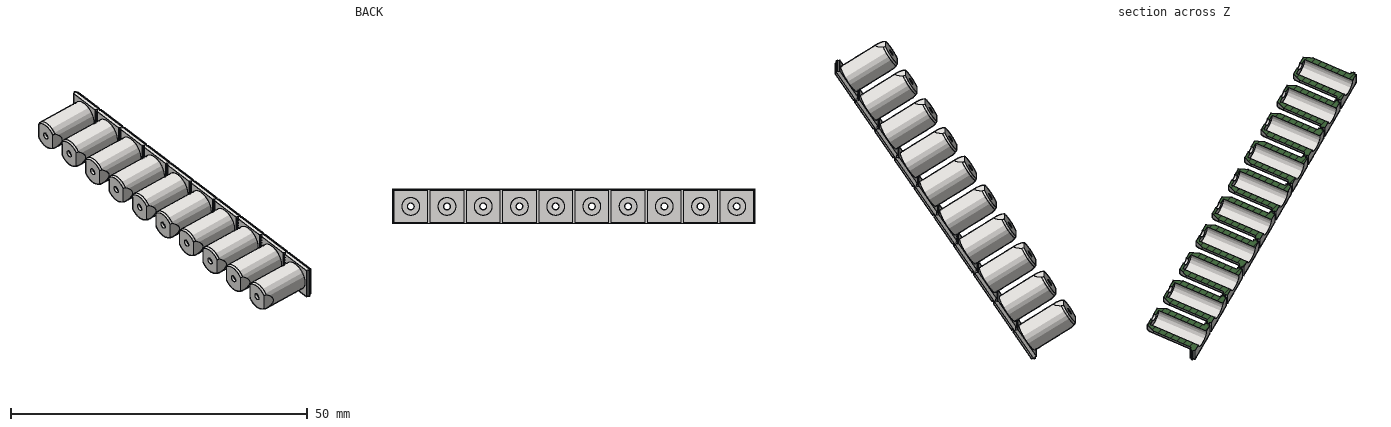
import cadquery as cq

cell_count = 10
pitch = 6.1
strip_length = cell_count * pitch

plate_height = 5.8
plate_thickness = 1.0
pad_thickness = 0.35
pad_gap = 0.4
pad_edge_taper = 0.2
groove_width = 0.4
groove_bevel_depth = 0.2
web_thickness = 0.25

total_depth = 9.5
pin_diameter = 5.0
tip_chamfer_length = 0.35
tip_chamfer_inset = 0.2
flat_length = 1.5
tip_half_width = 1.8
hole_diameter = 1.1
bore_diameter = 3.0
tip_wall = 0.5

web_back = -pad_thickness
plate_front = -plate_thickness
web_front = web_back - web_thickness
bevel_front = web_front - groove_bevel_depth
tip = -total_depth

pin_radius = pin_diameter / 2
cell_centers = [(index + 0.5) * pitch - strip_length / 2 for index in range(cell_count)]


def make_prism(points, height):
    """Extrude an XY outline symmetrically about Z = 0."""
    return cq.Workplane("XY").polyline(points).close().extrude(height / 2, both=True)


def make_cell_plate():
    """Layer with a groove at each side, plus the narrower pad behind it, tapered at top and bottom."""
    half_pitch = pitch / 2
    half_front = (pitch - groove_width) / 2
    layer = make_prism(
        [
            (-half_pitch, web_back),
            (half_pitch, web_back),
            (half_pitch, web_front),
            (half_front, bevel_front),
            (half_front, plate_front),
            (-half_front, plate_front),
            (-half_front, bevel_front),
            (-half_pitch, web_front),
        ],
        plate_height,
    )
    half_height = plate_height / 2
    half_back = half_height - pad_edge_taper
    pad = (
        cq.Workplane("YZ")
        .polyline([(web_back, -half_height), (0, -half_back), (0, half_back), (web_back, half_height)])
        .close()
        .extrude((pitch - pad_gap) / 2, both=True)
    )
    return layer.union(pad)


def make_pin():
    """Round pin with a chamfered tip and two slanted flats at its sides."""
    tip_radius = pin_radius - tip_chamfer_inset
    body = (
        cq.Workplane("XY")
        .polyline(
            [
                (0, plate_front),
                (pin_radius, plate_front),
                (pin_radius, tip + tip_chamfer_length),
                (tip_radius, tip),
                (0, tip),
            ]
        )
        .close()
        .revolve(360, (0, 0), (0, 1))
    )
    envelope = make_prism(
        [
            (-pin_radius, plate_front),
            (pin_radius, plate_front),
            (pin_radius, tip + flat_length),
            (tip_half_width, tip),
            (-tip_half_width, tip),
            (-pin_radius, tip + flat_length),
        ],
        pin_diameter,
    )
    return body.intersect(envelope)


def make_bore(diameter, depth):
    """Round cutter running toward -Y from the back of the strip."""
    return cq.Workplane("XZ").circle(diameter / 2).extrude(depth)


def make_cell():
    """One plate section with its hollow pin and the small hole through the tip wall."""
    solid = make_cell_plate().union(make_pin())
    bore = make_bore(bore_diameter, total_depth - tip_wall)
    hole = make_bore(hole_diameter, total_depth)
    return solid.cut(bore).cut(hole)


cell = make_cell()
result = cell.translate((cell_centers[0], 0, 0))
for center in cell_centers[1:]:
    result = result.union(cell.translate((center, 0, 0)))